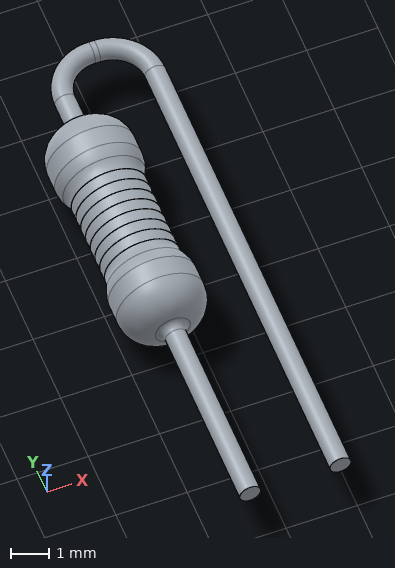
import cadquery as cq
import math


total_length = 14.9
wire_diameter = 0.6
lead_pitch = 2.53
bend_radius = 1.19

body_middle_y = 9.01
cap_diameter = 2.5
band_diameter = 2.15
neck_diameter = 2.13
band_width = 0.35
band_count = 4
flare_length = 0.75
cap_straight_length = 0.58
cap_round_radius = 0.9
lead_fillet_radius = 0.22

wire_radius = wire_diameter / 2
cap_radius = cap_diameter / 2
neck_radius = neck_diameter / 2
neck_half_length = (2 * band_count - 1) * band_width / 2
bend_start_y = total_length - wire_radius - bend_radius


def end_cap_profile():
    """Radius-versus-length outline of one body end, overlapping the neck by one band."""
    flare_end = neck_half_length + flare_length
    flare_middle = ((neck_radius + cap_radius) / 2, neck_half_length + flare_length / 2)
    cap_round_start = flare_end + cap_straight_length

    round_center_x = cap_radius - cap_round_radius
    fillet_center_x = wire_radius + lead_fillet_radius
    center_distance = cap_round_radius + lead_fillet_radius
    center_offset_x = fillet_center_x - round_center_x
    center_offset_y = math.sqrt(center_distance**2 - center_offset_x**2)
    fillet_end = cap_round_start + center_offset_y
    round_share = cap_round_radius / center_distance
    touch_point = (
        round_center_x + center_offset_x * round_share,
        cap_round_start + center_offset_y * round_share,
    )

    return (
        cq.Workplane("XY")
        .moveTo(0, neck_half_length - band_width)
        .lineTo(neck_radius, neck_half_length - band_width)
        .lineTo(neck_radius, neck_half_length)
        .tangentArcPoint(flare_middle, relative=False)
        .tangentArcPoint((cap_radius, flare_end), relative=False)
        .lineTo(cap_radius, cap_round_start)
        .tangentArcPoint(touch_point, relative=False)
        .tangentArcPoint((wire_radius, fillet_end), relative=False)
        .lineTo(0, fillet_end)
        .close()
    )


def make_body():
    end_cap = end_cap_profile().revolve(360, (0, 0, 0), (0, 1, 0))
    neck = cq.Workplane("XZ").circle(neck_radius).extrude(neck_half_length, both=True)
    body = neck.union(end_cap).union(end_cap.mirror("XZ"))
    for index in range(band_count):
        band_start = -neck_half_length + 2 * index * band_width
        band = (
            cq.Workplane("XZ", origin=(0, band_start, 0))
            .circle(band_diameter / 2)
            .extrude(-band_width)
        )
        body = body.union(band)
    return body.translate((0, body_middle_y, 0))


def make_leads():
    """One wire through the body, around the U-bend and back to Y = 0."""
    bend_top_y = bend_start_y + bend_radius
    path = (
        cq.Workplane("XY")
        .lineTo(0, bend_start_y)
        .tangentArcPoint((bend_radius, bend_top_y), relative=False)
        .lineTo(lead_pitch - bend_radius, bend_top_y)
        .tangentArcPoint((lead_pitch, bend_start_y), relative=False)
        .lineTo(lead_pitch, 0)
    )
    return cq.Workplane("XZ").circle(wire_radius).sweep(path)


result = make_body().union(make_leads())